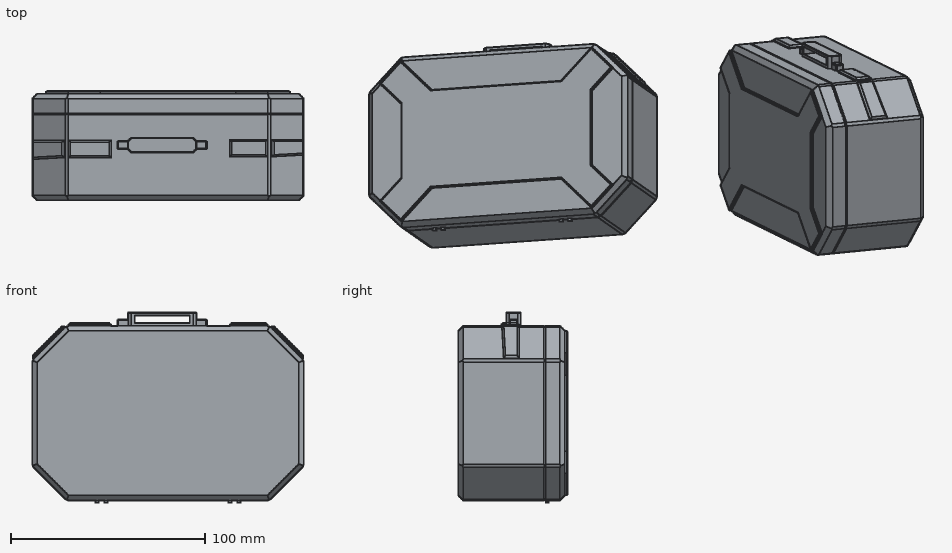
import cadquery as cq
import math


CASE_WIDTH = 140.0
CASE_HEIGHT = 90.0
CASE_DEPTH = 55.0
SEAM_Y = 45.0
CORNER_CUT = 17.75
CORNER_BREAK = 1.0
FACE_BEVEL = 2.6
SEAM_BEVEL = 0.85
HALF_WIDTH = CASE_WIDTH / 2
DIAGONAL = math.sqrt(0.5)

PLATE_HEIGHT = 1.5
PLATE_BEVEL = 1.0
CUT_CENTER = (HALF_WIDTH - CORNER_CUT / 2, CASE_HEIGHT - CORNER_CUT / 2)
CUT_HALF_LENGTH = CORNER_CUT / math.sqrt(2) - CORNER_BREAK
TOP_PLATE_OUTER_X = HALF_WIDTH - CORNER_CUT - CORNER_BREAK
LEFT_PLATE_LENGTH = 21.9
RIGHT_PLATE_LENGTH = 19.4
LEFT_PLATE_FRONT = 22.1
LEFT_PLATE_BACK = 31.0
RIGHT_PLATE_FRONT = 22.5
RIGHT_PLATE_BACK = 31.4
PLATE_FLARE = 0.9

HANDLE_X = -3.0
HANDLE_Y = 28.5
HANDLE_LENGTH = 35.4
HANDLE_WIDTH = 7.6
HANDLE_HEIGHT = 6.85
HANDLE_CORNER = 1.7
HANDLE_TOP_BREAK = 0.3
GRIP_LENGTH = 28.2
GRIP_BOTTOM = 1.5
GRIP_TOP = 5.3
FOOT_SPAN = 46.2
FOOT_WIDTH = 4.4
FOOT_HEIGHT = 3.3
FOOT_BREAK = 0.55

LUG_DROP = 1.15
LUG_WIDTH = 1.6
LUG_LENGTH = 1.9
LUG_HOLE = 0.8
LUG_HOLE_Z = -0.2
HINGE_X = 34.2
LUG_SPACING = 4.6

PANEL_HEIGHT = 1.49
PANEL_BEVEL = 0.6
ARM_PEAK_X = 51.5
ARM_PEAK_Z = CASE_HEIGHT / 2 - FACE_BEVEL
ARM_TIP_RUN = 11.4
ARM_SIDE_RUN = 16.5


def octagon_prism(start_y, end_y, cut):
    """Case-sized octagonal prism between two Y positions."""
    return (
        cq.Workplane("XY")
        .box(CASE_WIDTH, end_y - start_y, CASE_HEIGHT)
        .edges("|Y")
        .chamfer(cut)
        .translate((0, (start_y + end_y) / 2, CASE_HEIGHT / 2))
    )


def case_shell(start_y, end_y, front_bevel, back_bevel):
    """Octagonal shell half with bevelled faces and broken corner edges."""
    shell = octagon_prism(start_y, end_y, CORNER_CUT)
    if front_bevel:
        shell = shell.faces("<Y").chamfer(front_bevel)
    if back_bevel:
        shell = shell.faces(">Y").chamfer(back_bevel)
    broken_edges = octagon_prism(start_y, end_y, CORNER_CUT).edges("|Y").chamfer(CORNER_BREAK)
    return shell.intersect(broken_edges)


def raised_plate(plane, corners):
    """Plate standing on a plane, with its outer face bevelled."""
    plate = cq.Workplane(plane).polyline(corners).close().extrude(PLATE_HEIGHT)
    return plate.faces(cq.selectors.DirectionMinMaxSelector(plane.zDir)).chamfer(PLATE_BEVEL)


def top_plate(side, length, front, back):
    """Rectangular plate on the top face; side is -1 for left and 1 for right."""
    plane = cq.Plane(origin=(0, 0, CASE_HEIGHT), xDir=(1, 0, 0), normal=(0, 0, 1))
    outer = side * TOP_PLATE_OUTER_X
    inner = side * (TOP_PLATE_OUTER_X - length)
    return raised_plate(plane, [(outer, front), (inner, front), (inner, back), (outer, back)])


def corner_plate(side, upper_front, lower_front, back):
    """Slightly tapered plate covering the length of an upper corner cut."""
    plane = cq.Plane(
        origin=(side * CUT_CENTER[0], 0, CUT_CENTER[1]),
        xDir=(DIAGONAL, 0, -side * DIAGONAL),
        normal=(side * DIAGONAL, 0, DIAGONAL),
    )
    lower = side * CUT_HALF_LENGTH
    upper = -lower
    return raised_plate(plane, [(lower, lower_front), (upper, upper_front), (upper, back), (lower, back)])


def handle():
    """Carrying handle with a grip opening and a low foot at each end."""
    grip = (
        cq.Workplane("XY")
        .box(HANDLE_LENGTH, HANDLE_WIDTH, HANDLE_HEIGHT, centered=(True, True, False))
        .edges("|Z").chamfer(HANDLE_CORNER)
        .faces(">Z").chamfer(HANDLE_TOP_BREAK)
    )
    feet = (
        cq.Workplane("XY")
        .box(FOOT_SPAN, FOOT_WIDTH, FOOT_HEIGHT, centered=(True, True, False))
        .edges("|Z or >Z").chamfer(FOOT_BREAK)
    )
    opening = (
        cq.Workplane("XY")
        .box(GRIP_LENGTH, HANDLE_WIDTH, GRIP_TOP - GRIP_BOTTOM, centered=(True, True, False))
        .translate((0, 0, GRIP_BOTTOM))
    )
    return grip.union(feet).cut(opening).translate((HANDLE_X, HANDLE_Y, CASE_HEIGHT))


def hinge_lug(center_x):
    """Block hanging from the lid floor next to the seam."""
    return (
        cq.Workplane("XY", origin=(center_x, SEAM_Y + LUG_WIDTH / 2, -LUG_DROP / 2))
        .box(LUG_LENGTH, LUG_WIDTH, LUG_DROP)
    )


def hinge_hole(center_x):
    """Pin hole through a lug, along X and just under the case floor."""
    return (
        cq.Workplane("YZ", origin=(center_x - LUG_LENGTH / 2, SEAM_Y + LUG_WIDTH / 2, LUG_HOLE_Z))
        .circle(LUG_HOLE / 2)
        .extrude(LUG_LENGTH)
    )


def back_panel():
    """X-armed panel; each arm ends in an edge parallel to the case's corner cut."""
    quarter = [
        (ARM_PEAK_X - ARM_SIDE_RUN, ARM_PEAK_Z - ARM_SIDE_RUN),
        (ARM_PEAK_X, ARM_PEAK_Z),
        (ARM_PEAK_X + ARM_TIP_RUN, ARM_PEAK_Z - ARM_TIP_RUN),
        (ARM_PEAK_X, ARM_PEAK_Z - 2 * ARM_TIP_RUN),
    ]
    lower_right = [(x, -z) for x, z in reversed(quarter)]
    right_half = quarter + lower_right
    left_half = [(-x, z) for x, z in reversed(right_half)]
    return (
        cq.Workplane("XZ", origin=(0, CASE_DEPTH, CASE_HEIGHT / 2))
        .polyline(right_half + left_half)
        .close()
        .extrude(-PANEL_HEIGHT)
        .faces(">Y")
        .chamfer(PANEL_BEVEL)
    )


body = case_shell(0, SEAM_Y, FACE_BEVEL, SEAM_BEVEL)
body = body.union(top_plate(-1, LEFT_PLATE_LENGTH, LEFT_PLATE_FRONT, LEFT_PLATE_BACK))
body = body.union(top_plate(1, RIGHT_PLATE_LENGTH, RIGHT_PLATE_FRONT, RIGHT_PLATE_BACK))
body = body.union(corner_plate(-1, LEFT_PLATE_FRONT, LEFT_PLATE_FRONT - PLATE_FLARE, LEFT_PLATE_BACK))
body = body.union(corner_plate(1, RIGHT_PLATE_FRONT, RIGHT_PLATE_FRONT + PLATE_FLARE, RIGHT_PLATE_BACK))
body = body.union(handle())

lid = case_shell(SEAM_Y, CASE_DEPTH, 0, FACE_BEVEL)
lid = lid.union(back_panel())
for hinge_side in (-1, 1):
    for lug_side in (-1, 1):
        lug_x = hinge_side * HINGE_X + lug_side * LUG_SPACING / 2
        lid = lid.union(hinge_lug(lug_x)).cut(hinge_hole(lug_x))

result = cq.Compound.makeCompound([body.val(), lid.val()])